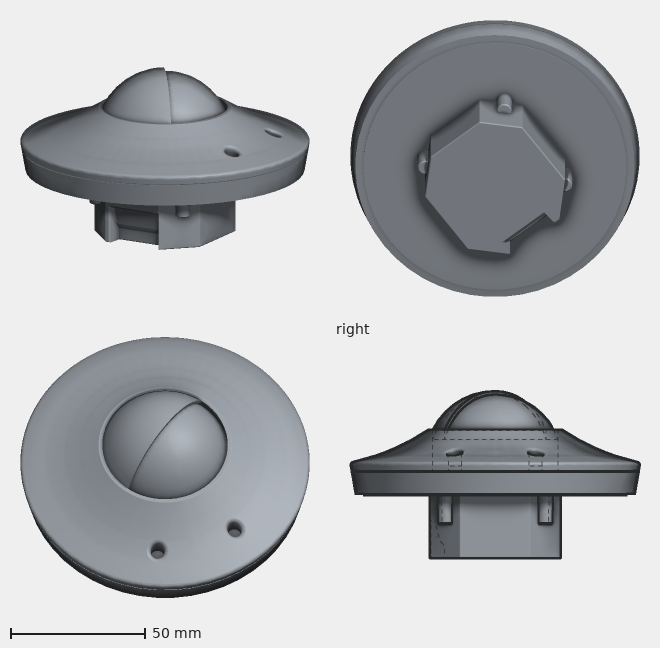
import cadquery as cq
import math

overall_height = 62.4
plate_underside = 23.5
rim_underside = 24.05
split_low = 32.25
split_high = 32.65
cover_edge_height = 35.7
cover_top = 48.0
post_underside = 12.7
recess_top = 13.6

rim_underside_radius = 52.1
side_draft = math.radians(10)
plate_radius = 49.0
groove_radius = 51.9
crown_radius = 24.8
crown_rounding = 0.3
flank_arc_radius = 85.0
cover_edge_rounding = 1.3
bore_radius = 23.4
clip_sphere_radius = 26.0
clip_thickness = 1.3
clip_edge_angle = -54.0
lens_sphere_radius = clip_sphere_radius - clip_thickness
sphere_height = overall_height - clip_sphere_radius

pin_x = 37.5
pin_y = 15.0
pin_radius = 2.5
pin_top = 34.5
pin_hole_rounding = 1.5

housing_half_x = 22.9
housing_half_y = 24.5
housing_corner_cut = 11.4
housing_rounding = 0.5
post_offset = 18.6
post_root_radius = 3.0
post_tip_radius = 2.7
post_tip_chamfer = 0.4

recess_center_x = 1.0
recess_mouth_width = 20.7
recess_back_width = 19.6
recess_edge_chamfer = 0.6
lintel_setback = 2.0
lintel_height = 7.0
lintel_lean = math.radians(15)
lintel_foot = lintel_setback + lintel_height * math.tan(lintel_lean)
lintel_corner_rounding = 0.8
ledge_height = 2.0
ledge_lean = math.radians(40)
ledge_foot_rounding = 0.8
recess_depth = lintel_foot + ledge_height * math.tan(ledge_lean)
selection_margin = 0.1


def side_radius(height):
    """Radius of the drafted outer side at a height."""
    return rim_underside_radius + (height - rim_underside) * math.tan(side_draft)


def ball(radius):
    return cq.Workplane("XY").sphere(radius).translate((0, 0, sphere_height))


def disc(radius, bottom, top):
    return cq.Workplane("XY").workplane(offset=bottom).circle(radius).extrude(top - bottom)


def edges_within(low, high):
    """Selector for the edges that lie wholly inside a box, with a little slack."""
    return cq.selectors.BoxSelector(
        tuple(value - selection_margin for value in low),
        tuple(value + selection_margin for value in high),
        boundingbox=True,
    )


def make_base():
    return (
        cq.Workplane("XZ")
        .moveTo(0, plate_underside)
        .lineTo(plate_radius, plate_underside)
        .lineTo(plate_radius, rim_underside)
        .lineTo(rim_underside_radius, rim_underside)
        .lineTo(side_radius(split_low), split_low)
        .lineTo(groove_radius, split_low)
        .lineTo(groove_radius, split_high)
        .lineTo(0, split_high)
        .close()
        .revolve(360, (0, 0, 0), (0, 1, 0))
    )


def make_cover():
    edge_radius = side_radius(cover_edge_height)
    body = (
        cq.Workplane("XZ")
        .moveTo(0, split_high)
        .lineTo(side_radius(split_high), split_high)
        .lineTo(edge_radius, cover_edge_height)
        .radiusArc((crown_radius, cover_top), flank_arc_radius)
        .lineTo(0, cover_top)
        .close()
        .revolve(360, (0, 0, 0), (0, 1, 0))
    )
    outer_corner = edges_within(
        (-edge_radius, -edge_radius, cover_edge_height),
        (edge_radius, edge_radius, cover_edge_height),
    )
    body = body.faces(">Z").edges().fillet(crown_rounding)
    body = body.edges(outer_corner).fillet(cover_edge_rounding)
    return body.cut(disc(bore_radius, split_high, cover_top))


def drill_pin_hole(cover, y):
    drill = disc(pin_radius, split_high, cover_top).translate((pin_x, y, 0))
    reach = 2 * pin_radius
    rim = edges_within((pin_x - reach, y - reach, pin_top), (pin_x + reach, y + reach, cover_top))
    return cover.cut(drill).edges(rim).fillet(pin_hole_rounding)


def make_pin(y):
    return disc(pin_radius, split_high, pin_top).translate((pin_x, y, 0))


def make_lens():
    return disc(bore_radius, split_high, overall_height).intersect(ball(lens_sphere_radius))


def make_clip():
    shell = ball(clip_sphere_radius).cut(ball(lens_sphere_radius))
    half = (
        cq.Workplane("XY")
        .box(4 * bore_radius, 2 * bore_radius, clip_sphere_radius, centered=(True, False, False))
        .rotate((0, 0, 0), (0, 0, 1), clip_edge_angle + 180)
        .translate((0, 0, sphere_height))
    )
    return shell.intersect(half).intersect(disc(bore_radius, sphere_height, overall_height))


def make_recess():
    front = -housing_half_y
    rear = front + recess_depth
    mouth = recess_mouth_width / 2
    back = recess_back_width / 2
    lintel_bottom = recess_top - lintel_height
    ledge_foot = lintel_bottom - ledge_height
    cavity = (
        cq.Workplane("XY")
        .polyline([(-mouth, front), (mouth, front), (back, rear), (-back, rear)])
        .close()
        .extrude(recess_top)
    )
    lintel = (
        cq.Workplane("YZ")
        .polyline([
            (front + lintel_setback, recess_top),
            (front + lintel_foot, lintel_bottom),
            (rear, ledge_foot),
            (rear, recess_top),
        ])
        .close()
        .extrude(mouth, both=True)
    )
    lintel_face = edges_within(
        (-mouth, front + lintel_setback, lintel_bottom),
        (mouth, front + lintel_foot, recess_top),
    )
    ledge_edge = edges_within((-mouth, rear, ledge_foot), (mouth, rear, ledge_foot))
    cavity = cavity.cut(lintel).edges(lintel_face).edges("not(#Z and #Y)").fillet(lintel_corner_rounding)
    cavity = cavity.edges(ledge_edge).fillet(ledge_foot_rounding)
    flare = (
        cq.Workplane("XZ", origin=(0, front, 0))
        .rect(recess_mouth_width + 2 * recess_edge_chamfer, 2 * (recess_top + recess_edge_chamfer))
        .workplane(offset=-recess_edge_chamfer)
        .rect(recess_mouth_width, 2 * recess_top)
        .loft(ruled=True)
    )
    return cavity.union(flare).translate((recess_center_x, 0, 0))


def make_post():
    return (
        cq.Workplane("XY")
        .workplane(offset=post_underside)
        .circle(post_tip_radius)
        .workplane(offset=plate_underside - post_underside)
        .circle(post_root_radius)
        .loft()
        .faces("<Z")
        .chamfer(post_tip_chamfer)
    )


def make_housing():
    recess_rear = recess_depth - housing_half_y
    recess_rear_edge = edges_within(
        (-recess_mouth_width, recess_rear, 0),
        (recess_mouth_width, recess_rear, 0),
    )
    body = (
        cq.Workplane("XY")
        .rect(2 * housing_half_x, 2 * housing_half_y)
        .extrude(plate_underside)
        .edges("|Z")
        .chamfer(housing_corner_cut)
        .edges("|Z or <Z")
        .fillet(housing_rounding)
        .cut(make_recess())
        .edges(recess_rear_edge)
        .fillet(housing_rounding)
    )
    for x in (-post_offset, post_offset):
        for y in (-post_offset, post_offset):
            body = body.union(make_post().translate((x, y, 0)))
    return body


base = make_base()
cover = make_cover()
lens = make_lens()
clip = make_clip()
housing = make_housing()
pins = []
for y in (-pin_y, pin_y):
    cover = drill_pin_hole(cover, y)
    pins.append(make_pin(y).val())

result = cq.Compound.makeCompound([base.val(), cover.val(), lens.val(), clip.val(), housing.val(), *pins])